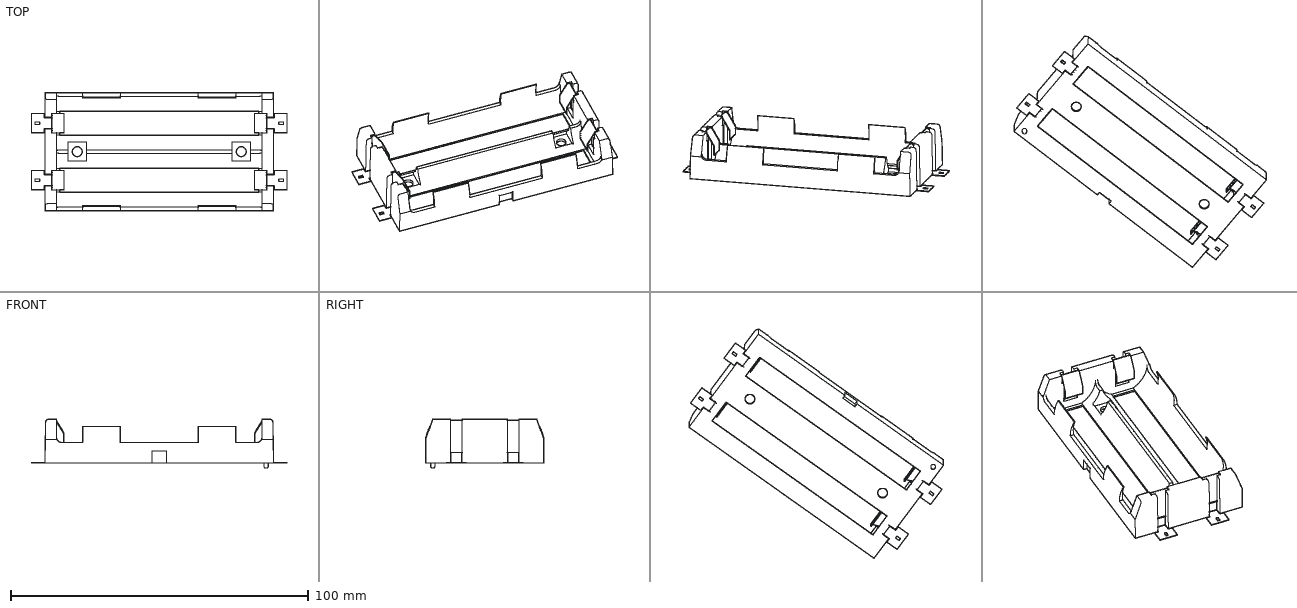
import cadquery as cq
import math

overall_length = 86.0
housing_length = 77.05
housing_width = 39.8
housing_height = 14.8
end_wall_thickness = 3.95
end_wall_draft = 0.3
end_wall_round = 1.0
rim_height = 7.0
rim_blend = 1.7
taper_start = 8.0
taper_inset = 2.4

cell_spacing = 19.2
cell_radius = 9.2
cell_axis_height = 8.95
floor_opening_width = 8.0
crossbar_length = 1.1

clip_length = 12.7
clip_spacing = 38.9
clip_top = 12.4
clip_inset = 1.5

pad_size = 6.4
pad_spacing = 55.2
pad_thickness = 1.0
screw_hole_diameter = 3.3

side_notch_length = 5.0
side_notch_height = 4.1
side_notch_depth = 1.2

peg_diameter = 1.55
peg_length = 1.7
peg_tip_round = 0.7
peg_x = 35.95
peg_y = -17.5

sheet = 0.3
contact_width = 6.5
channel_width = 3.9
neck_width = 3.6
recess_setback = 2.2
contact_setback = 2.5
upright_width = 5.1
ledge_height = 3.6
shoulder_height = 11.6
contact_top = 14.5
contact_crown_radius = 0.9
contact_slope = 59.0
contact_reach = 6.5
contact_tip_height = 6.8
bend_radius = 0.3
tab_gap = 0.2
tab_slot_length = 1.5
tab_slot_width = 0.8
tab_slot_setback = 2.5

half_length = housing_length / 2
half_width = housing_width / 2
inner_end = half_length - end_wall_thickness
cell_centres = (-cell_spacing / 2, cell_spacing / 2)
opening_half = floor_opening_width / 2
floor_edge = cell_axis_height - math.sqrt(cell_radius**2 - opening_half**2)
upright_outer = half_length - contact_setback
upright_inner = upright_outer - sheet
tab_length = (overall_length - housing_length) / 2


def block(x_range, y_range, z_range):
    """Rectangular block between the given limits."""
    sizes = [high - low for low, high in (x_range, y_range, z_range)]
    corner = (x_range[0], y_range[0], z_range[0])
    return cq.Workplane("XY").box(*sizes, centered=False).translate(corner)


def centred(middle, size):
    return (middle - size / 2, middle + size / 2)


def mirrored_pair(body):
    """The body together with its mirror image across the YZ plane."""
    return body.union(body.mirror("YZ"))


def end_wall():
    """Wall at the +X end: drafted outer face, rounded top, corners leaning in."""
    wall = (
        cq.Workplane("XZ")
        .moveTo(inner_end, 0)
        .lineTo(half_length, 0)
        .lineTo(half_length - end_wall_draft, housing_height)
        .lineTo(inner_end, housing_height)
        .close()
        .extrude(half_width, both=True)
        .edges(">Z")
        .edges(">X")
        .fillet(end_wall_round)
    )
    outline = (
        cq.Workplane("YZ")
        .moveTo(-half_width, 0)
        .lineTo(half_width, 0)
        .lineTo(half_width, taper_start)
        .lineTo(half_width - taper_inset, housing_height)
        .lineTo(taper_inset - half_width, housing_height)
        .lineTo(-half_width, taper_start)
        .close()
        .extrude(half_length)
    )
    return wall.intersect(outline)


def base():
    """Solid base up to the rim, curving upward into the end walls."""
    blend_top = rim_height + rim_blend
    blend_start = inner_end - rim_blend
    side = rim_blend * math.sqrt(0.5)
    blend_middle = (blend_start + side, blend_top - side)
    half_base = (
        cq.Workplane("XZ")
        .lineTo(inner_end, 0)
        .lineTo(inner_end, blend_top)
        .threePointArc(blend_middle, (blend_start, rim_height))
        .lineTo(0, rim_height)
        .close()
        .extrude(half_width, both=True)
    )
    return mirrored_pair(half_base)


def cell_trough(y):
    """Space for one cell: round bed and floor opening, less a crossbar at each end."""
    bed = (
        cq.Workplane("YZ", origin=(-inner_end, y, cell_axis_height))
        .circle(cell_radius)
        .extrude(2 * inner_end)
    )
    opening_length = 2 * (inner_end - crossbar_length)
    opening_width = centred(y, floor_opening_width)
    opening = block(centred(0, opening_length), opening_width, (0, floor_edge))
    floor = block((-inner_end, inner_end), opening_width, (-cell_radius, floor_edge))
    return bed.cut(floor).union(opening)


def retaining_clip(x):
    """Clip on the +Y side wall that curls over the cell."""
    rise = clip_top - rim_height
    outer_radius = (rise**2 + clip_inset**2) / (2 * clip_inset)
    curl = (
        cq.Workplane("YZ", origin=(x - clip_length / 2, 0, 0))
        .moveTo(half_width, rim_height)
        .radiusArc((half_width - clip_inset, clip_top), -outer_radius)
        .lineTo(cell_spacing / 2, clip_top)
        .lineTo(cell_spacing / 2, rim_height)
        .close()
        .extrude(clip_length)
    )
    return curl.cut(cell_trough(cell_spacing / 2))


def screw_pad_cut(x):
    """Square pocket in the centre ridge with a screw hole through its floor."""
    pad = centred(x, pad_size)
    pocket = block(pad, centred(0, pad_size), (pad_thickness, rim_height))
    hole = cq.Workplane("XY").center(x, 0).circle(screw_hole_diameter / 2).extrude(rim_height)
    return pocket.union(hole)


def contact_seat(y):
    """Recess in the +X end wall: stepped pocket inside, channel outside, slot between."""
    recess = (half_length - recess_setback, half_length)
    pocket = (inner_end, half_length - recess_setback)
    wide_pocket = block(pocket, centred(y, contact_width), (shoulder_height, housing_height))
    narrow_pocket = block(pocket, centred(y, upright_width), (ledge_height, housing_height))
    channel = block(recess, centred(y, channel_width), (0, housing_height))
    slot = neck().translate((0, y, 0))
    return wide_pocket.union(narrow_pocket).union(channel).union(slot)


def locating_peg():
    return (
        cq.Workplane("XY")
        .center(peg_x, peg_y)
        .circle(peg_diameter / 2)
        .extrude(-peg_length)
        .faces("<Z")
        .edges()
        .fillet(peg_tip_round)
    )


def make_housing():
    body = base().union(mirrored_pair(end_wall()))
    for y in cell_centres:
        body = body.cut(cell_trough(y))
        body = body.cut(mirrored_pair(contact_seat(y)))
    for x in centred(0, pad_spacing):
        body = body.cut(screw_pad_cut(x))
    for x in centred(0, clip_spacing):
        clip = retaining_clip(x)
        body = body.union(clip).union(clip.mirror("XZ"))
    side_notch = block(
        centred(0, side_notch_length),
        (-half_width, side_notch_depth - half_width),
        (0, side_notch_height),
    )
    return body.cut(side_notch).union(locating_peg())


def round_bend(body, inside, outside):
    """Round a sheet fold, given (x, z) of its inside and outside corners."""
    for (x, z), radius in ((inside, bend_radius), (outside, bend_radius + sheet)):
        fold = cq.selectors.NearestToPointSelector((x, 0, z))
        body = body.edges(fold).fillet(radius)
    return body


def spring():
    """Wide top of the contact, bent over into a sprung leg with a pressing face."""
    slope = math.radians(contact_slope)
    crown_x = upright_outer - contact_crown_radius
    crown_z = contact_top - contact_crown_radius
    inner_radius = contact_crown_radius - sheet
    crown_angle = math.pi / 2 + slope

    def crown_point(radius, angle):
        return (crown_x + radius * math.cos(angle), crown_z + radius * math.sin(angle))

    leg_start = crown_point(contact_crown_radius, crown_angle)
    press_x = half_length - contact_reach
    knee_z = leg_start[1] - (leg_start[0] - press_x) * math.tan(slope)
    knee_drop = sheet * math.tan((math.pi / 2 - slope) / 2)
    knee_outside = (press_x, knee_z)
    knee_inside = (press_x + sheet, knee_z - knee_drop)
    folded_strip = (
        cq.Workplane("XZ")
        .moveTo(upright_outer, shoulder_height)
        .lineTo(upright_outer, crown_z)
        .threePointArc(crown_point(contact_crown_radius, crown_angle / 2), leg_start)
        .lineTo(*knee_outside)
        .lineTo(press_x, contact_tip_height)
        .lineTo(press_x + sheet, contact_tip_height)
        .lineTo(*knee_inside)
        .lineTo(*crown_point(inner_radius, crown_angle))
        .threePointArc(crown_point(inner_radius, crown_angle / 2), (upright_inner, crown_z))
        .lineTo(upright_inner, shoulder_height)
        .close()
        .extrude(contact_width / 2, both=True)
    )
    return round_bend(folded_strip, knee_inside, knee_outside)


def upright():
    """Middle of the contact, standing in the narrow part of the pocket."""
    return block(
        (upright_inner, upright_outer),
        centred(0, upright_width),
        (ledge_height, shoulder_height),
    )


def neck():
    """Narrow strip inside the end wall, bent outward at its foot to the tab."""
    folded_strip = (
        cq.Workplane("XZ")
        .moveTo(half_length + tab_gap, 0)
        .lineTo(upright_inner, 0)
        .lineTo(upright_inner, ledge_height)
        .lineTo(upright_outer, ledge_height)
        .lineTo(upright_outer, sheet)
        .lineTo(half_length + tab_gap, sheet)
        .close()
        .extrude(neck_width / 2, both=True)
    )
    return round_bend(folded_strip, (upright_outer, sheet), (upright_inner, 0))


def solder_tab():
    """Flat wide tab outside the end wall with a small slot."""
    plate = block(
        (half_length + tab_gap, half_length + tab_length),
        centred(0, contact_width),
        (0, sheet),
    )
    slot = block(
        centred(half_length + tab_slot_setback, tab_slot_length),
        centred(0, tab_slot_width),
        (0, sheet),
    )
    return plate.cut(slot)


def make_contact(y, end):
    """Contact for the cell at y; end is +1 for the +X end, -1 for the -X end."""
    contact = spring().union(upright()).union(neck()).union(solder_tab())
    if end < 0:
        contact = contact.mirror("YZ")
    return contact.translate((0, y, 0))


housing = make_housing()
contacts = [make_contact(y, end) for y in cell_centres for end in (-1, 1)]

result = cq.Compound.makeCompound([housing.val(), *[contact.val() for contact in contacts]])